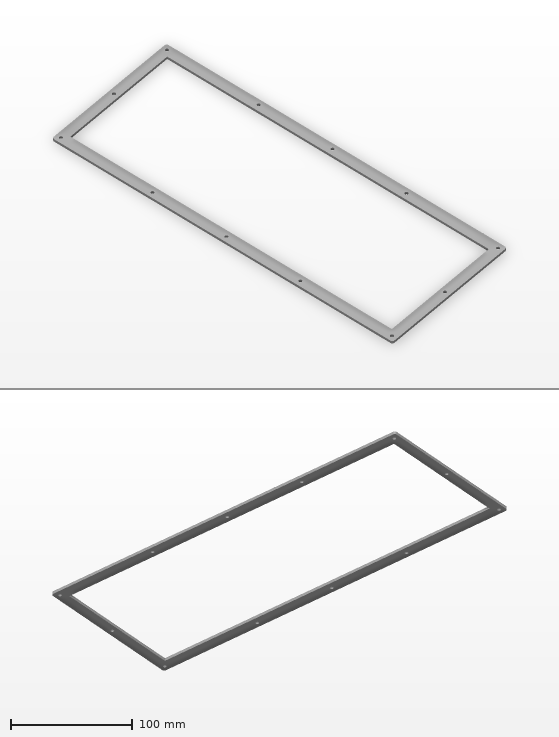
import cadquery as cq

length = 369.0
width = 145.5
thickness = 2.7
corner_radius = 2.2

end_border = 10.5
side_border = 11.0
window_length = length - 2 * end_border
window_width = width - 2 * side_border

hole_diameter = 3.2
hole_edge_distance = 5.0
side_hole_pitch = 80.0
end_hole_x = length / 2 - hole_edge_distance
side_hole_y = width / 2 - hole_edge_distance


def frame_blank():
    """Flat plate with rounded outer corners and a sharp-cornered window."""
    plate = cq.Workplane("XY").rect(length, width).extrude(thickness)
    plate = plate.edges("|Z").fillet(corner_radius)
    window = cq.Workplane("XY").rect(window_length, window_width).extrude(thickness)
    return plate.cut(window)


def hole_centers():
    """Three holes along each end, corners included, and three along each long side."""
    centers = []
    for side in (-1, 1):
        for step in (-1, 0, 1):
            centers.append((side * end_hole_x, step * side_hole_y))
            centers.append((step * side_hole_pitch, side * side_hole_y))
    return centers


holes = cq.Workplane("XY").pushPoints(hole_centers()).circle(hole_diameter / 2).extrude(thickness)
result = frame_blank().cut(holes)